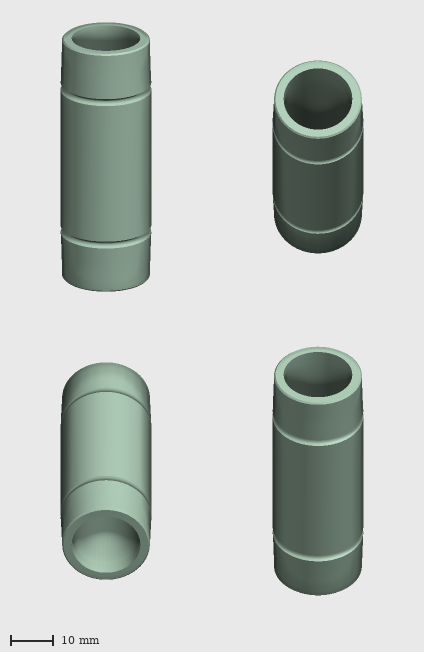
import cadquery as cq

length = 60.0
outer_diameter = 21.3
bore_diameter = 16.1

end_length = 11.15
end_root_diameter = 21.25
tip_diameter = 20.6
tip_chamfer = 0.35

groove_width = 1.75
groove_floor_width = 0.2
groove_floor_diameter = 18.7

outer_radius = outer_diameter / 2
bore_radius = bore_diameter / 2
end_root_radius = end_root_diameter / 2
tip_radius = tip_diameter / 2
groove_floor_radius = groove_floor_diameter / 2
half_length = length / 2
groove_outer_z = half_length - end_length
groove_inner_z = groove_outer_z - groove_width
groove_side_height = (groove_width - groove_floor_width) / 2

upper_outline = [
    (outer_radius, groove_inner_z),
    (groove_floor_radius, groove_inner_z + groove_side_height),
    (groove_floor_radius, groove_outer_z - groove_side_height),
    (end_root_radius, groove_outer_z),
    (tip_radius, half_length - tip_chamfer),
    (tip_radius - tip_chamfer, half_length),
    (bore_radius, half_length),
]
lower_outline = [(radius, -height) for radius, height in reversed(upper_outline)]

wall_section = [(-radius, height) for radius, height in lower_outline + upper_outline]
result = cq.Workplane("XZ").polyline(wall_section).close().revolve(360, (0, 0), (0, 1))